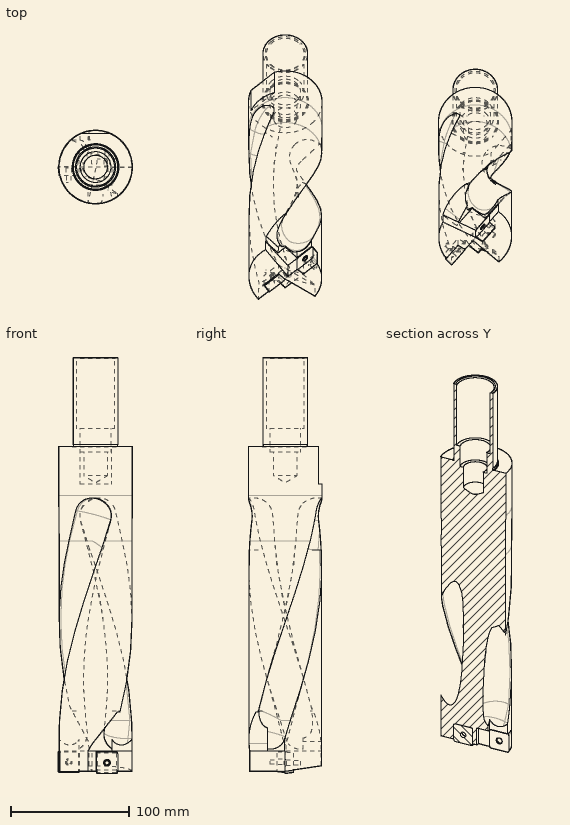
import cadquery as cq
import math

total_height = 352.23
shank_length = 75.3
flange_top = total_height - shank_length
head_length = 41.5
head_bottom = flange_top - head_length
taper_length = 38.4
taper_bottom = head_bottom - taper_length
body_bottom = 1.9

shank_diameter = 38.09
neck_diameter = 37.59
neck_width = 1.6
face_groove_diameter = 39.6
face_groove_depth = 0.5
shank_chamfer = (shank_diameter - neck_diameter) / 2
head_diameter = 62.5
drill_diameter = 61.8
head_flat_depth = 3.0
head_flat_length = 31.6

bore_steps = [(32.05, 60.0), (26.05, 80.0), (20.0, 100.0)]
bore_mouth_chamfer = 1.0
bore_tip_angle = 118.0

flute_count = 2
flute_radius = 15.0
flute_axis_radius = 25.0
flute_lead = 572.0
flute_bottom = 45.0
upper_runout_length = 22.0
lower_runout_length = 12.0
flute_join_angle = 16.6
flute_top = taper_bottom
flute_tilt = math.degrees(math.atan(2 * math.pi * flute_axis_radius / flute_lead))
flute_twist = 360 * (flute_top - flute_bottom) / flute_lead
flute_half_width = flute_radius / math.cos(math.radians(flute_tilt))
cut_reach = head_diameter

pocket_height = 19.0
chip_floor_height = 38.0
chip_floor_step = 0.6
chip_floor_left = 14.0
lead_in_floor = 15.0
point_relief_start = -6.5
point_rise = 4.6

insert_size = 18.2
insert_thickness = 7.0
insert_corner_radius = 1.5
insert_clearance_angle = 7.0
inner_insert_left = 0.6
overall_width = 63.01
outer_insert_reach = overall_width - head_diameter / 2
outer_insert_left = outer_insert_reach - insert_size
inner_insert_bottom = 0.0
outer_insert_bottom = 0.7
screw_head_diameter = 5.7
screw_clearance_diameter = 4.7
screw_thread_diameter = 3.5
screw_thread_depth = 6.0
screw_cone_angle = 60.0


def about_z(shape, angle):
    """Copy of a shape turned about the drill axis."""
    return shape.rotate((0, 0, 0), (0, 0, 1), angle)


def turned_body():
    """Shank, neck, collar, taper and drill shaft turned about Z."""
    shank_r = shank_diameter / 2
    neck_r = neck_diameter / 2
    head_r = head_diameter / 2
    drill_r = drill_diameter / 2
    neck_top = flange_top + neck_width
    groove_r = face_groove_diameter / 2
    groove_bottom = flange_top - face_groove_depth
    return (
        cq.Workplane("XZ")
        .moveTo(0, body_bottom)
        .lineTo(drill_r, body_bottom)
        .lineTo(drill_r, taper_bottom)
        .lineTo(head_r, head_bottom)
        .lineTo(head_r, flange_top)
        .lineTo(groove_r, flange_top)
        .lineTo(groove_r, groove_bottom)
        .lineTo(neck_r, groove_bottom)
        .lineTo(neck_r, neck_top)
        .lineTo(shank_r, neck_top)
        .lineTo(shank_r, total_height - shank_chamfer)
        .lineTo(shank_r - shank_chamfer, total_height)
        .lineTo(0, total_height)
        .close()
        .revolve(360, (0, 0, 0), (0, 1, 0))
    )


def coolant_bore():
    """Stepped blind bore with a chamfered mouth at the shank end, finished with a drill point."""
    last_radius = bore_steps[-1][0] / 2
    tip_depth = bore_steps[-1][1] + last_radius / math.tan(math.radians(bore_tip_angle / 2))
    mouth_radius = bore_steps[0][0] / 2 + bore_mouth_chamfer
    profile = cq.Workplane("XZ").moveTo(0, total_height).lineTo(mouth_radius, total_height)
    step_top = total_height - bore_mouth_chamfer
    for diameter, depth in bore_steps:
        profile = profile.lineTo(diameter / 2, step_top)
        step_top = total_height - depth
        profile = profile.lineTo(diameter / 2, step_top)
    profile = profile.lineTo(0, total_height - tip_depth).close()
    return profile.revolve(360, (0, 0, 0), (0, 1, 0))


def head_flat():
    """Clamping flat on the +Y side of the collar."""
    flat_y = head_diameter / 2 - head_flat_depth
    return (
        cq.Workplane("XZ", origin=(0, flat_y, flange_top - head_flat_length / 2))
        .rect(head_diameter, head_flat_length)
        .extrude(-head_flat_depth)
    )


def flute_helix():
    """U-shaped flute, centred on -Y at its top, twisted down along the helix."""
    section = (
        cq.Workplane("XY", origin=(0, 0, flute_bottom))
        .moveTo(flute_half_width, -flute_axis_radius)
        .ellipseArc(flute_half_width, flute_radius, 0, 180, startAtCurrent=True)
        .lineTo(-flute_half_width, -cut_reach)
        .lineTo(flute_half_width, -cut_reach)
        .close()
    )
    helix = section.twistExtrude(flute_top - flute_bottom, flute_twist)
    return about_z(helix, -flute_twist)


def flute_runout(straight_length):
    """Straight tilted U slot with a ball end, leaving the helix upwards from the origin."""
    overlap = flute_radius * math.tan(math.radians(flute_tilt))
    length = straight_length + overlap
    slot = cq.Workplane("XY").circle(flute_radius).extrude(length)
    ball = cq.Workplane("XY").sphere(flute_radius).translate((0, 0, length))
    walls = (
        cq.Workplane("XZ")
        .center(0, length / 2)
        .rect(2 * flute_radius, length)
        .extrude(cut_reach)
    )
    round_end = cq.Workplane("XZ").center(0, length).circle(flute_radius).extrude(cut_reach)
    return (
        slot.union(walls).union(round_end).union(ball)
        .translate((0, 0, -overlap))
        .rotate((0, 0, 0), (0, 1, 0), flute_tilt)
    )


def upper_runout():
    """Run-out at the upper end of the helix."""
    return flute_runout(upper_runout_length).translate((0, -flute_axis_radius, flute_top))


def lower_runout():
    """Run-out turned upside down at the lower end of the helix."""
    turned_down = flute_runout(lower_runout_length).rotate((0, 0, 0), (0, 1, 0), 180)
    return about_z(turned_down.translate((0, -flute_axis_radius, flute_bottom)), -flute_twist)


def chip_pocket(wall_inner, wall_outer, ramp_base, ramp_top):
    """Insert pocket opening towards -Y, with its floor on Y = 0.

    The side wall runs from x = wall_inner at the floor to x = wall_outer at the drill surface.
    Above it a sloping cut leads into the flute, from the (x, z) point ramp_base up to ramp_top.
    """
    drill_r = drill_diameter / 2
    upright = (
        cq.Workplane("XY")
        .moveTo(wall_inner, 0)
        .lineTo(cut_reach, 0)
        .lineTo(cut_reach, -drill_r)
        .lineTo(wall_outer, -drill_r)
        .close()
        .extrude(pocket_height)
    )
    lead_in = (
        cq.Workplane("XZ", origin=(0, -lead_in_floor, 0))
        .moveTo(wall_outer, pocket_height)
        .lineTo(*ramp_base)
        .lineTo(*ramp_top)
        .lineTo(cut_reach, ramp_top[1])
        .lineTo(cut_reach, pocket_height)
        .close()
        .extrude(cut_reach)
    )
    chip_floor = (
        cq.Workplane("XY")
        .rect(cut_reach - chip_floor_left, cut_reach)
        .extrude(chip_floor_height)
        .translate(((cut_reach + chip_floor_left) / 2, -cut_reach / 2 - chip_floor_step, 0))
    )
    return upright.union(lead_in).union(chip_floor)


def point_relief():
    """Wedge that lets the end face rise behind the inner insert towards +Y."""
    drill_r = drill_diameter / 2
    return (
        cq.Workplane("YZ", origin=(point_relief_start, 0, 0))
        .moveTo(0, body_bottom)
        .lineTo(drill_r, body_bottom + point_rise)
        .lineTo(drill_r, 0)
        .lineTo(0, 0)
        .close()
        .extrude(cut_reach)
    )


def insert_blank(left, bottom):
    """Square tapered insert with its cutting face on Y = 0 facing -Y, lying behind that plane."""
    half = insert_size / 2
    outline = cq.Sketch().rect(insert_size, insert_size).vertices().fillet(insert_corner_radius)
    return (
        cq.Workplane("XZ", origin=(left + half, 0, bottom + half))
        .placeSketch(outline)
        .extrude(-insert_thickness, taper=insert_clearance_angle)
    )


def insert_with_hole(left, bottom):
    """Insert with its countersunk screw hole."""
    return (
        insert_blank(left, bottom)
        .faces("<Y")
        .workplane(centerOption="CenterOfBoundBox")
        .cskHole(screw_clearance_diameter, screw_head_diameter, screw_cone_angle)
    )


def insert_seat(left, bottom):
    """Recess that takes an insert, with the screw hole behind it."""
    half = insert_size / 2
    screw_hole = (
        cq.Workplane("XZ", origin=(left + half, insert_thickness, bottom + half))
        .circle(screw_thread_diameter / 2)
        .extrude(-screw_thread_depth)
    )
    return insert_blank(left, bottom).union(screw_hole)


drill_body = turned_body().cut(coolant_bore()).cut(head_flat()).cut(point_relief())
flute_parts = [
    about_z(flute_helix(), -flute_join_angle),
    about_z(upper_runout(), -flute_join_angle),
    about_z(lower_runout(), -flute_join_angle),
]
for index in range(flute_count):
    for cutter in flute_parts:
        drill_body = drill_body.cut(about_z(cutter, index * 360 / flute_count))
inner_pocket = chip_pocket(wall_inner=0.5, wall_outer=-6.5, ramp_base=(-2.5, 25.5), ramp_top=(18.4, 52.0))
outer_pocket = chip_pocket(wall_inner=3.0, wall_outer=5.5, ramp_base=(6.0, 27.0), ramp_top=(22.0, 57.0))
drill_body = drill_body.cut(inner_pocket).cut(about_z(outer_pocket, 180))
drill_body = drill_body.cut(insert_seat(inner_insert_left, inner_insert_bottom))
drill_body = drill_body.cut(about_z(insert_seat(outer_insert_left, outer_insert_bottom), 180))

inner_insert = insert_with_hole(inner_insert_left, inner_insert_bottom)
outer_insert = about_z(insert_with_hole(outer_insert_left, outer_insert_bottom), 180)

result = cq.Compound.makeCompound([drill_body.val(), inner_insert.val(), outer_insert.val()])